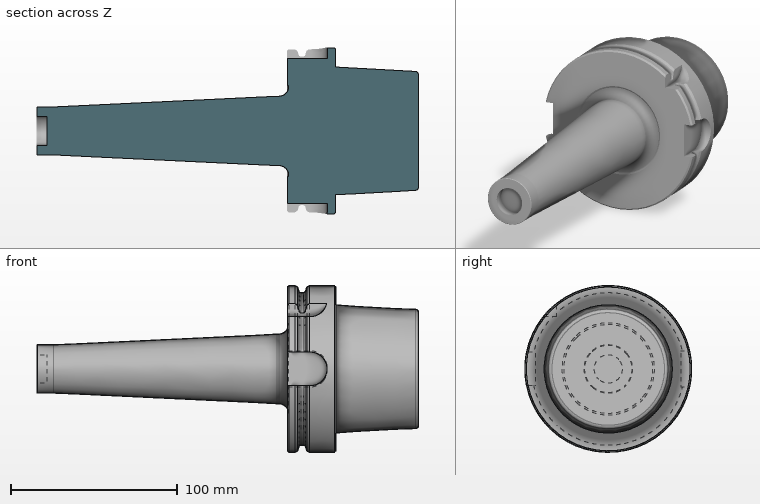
import cadquery as cq
import math

total_length = 229.0
tip_length = 10.0
cone_end = 144.0
neck_end = 145.2
flange_front = 150.2
flange_rear = 179.3

tip_radius = 29.0 / 2
neck_radius = 42.0 / 2
flange_radius = 100.0 / 2
rear_root_radius = 38.5
rear_end_radius = 35.7

tip_chamfer = 0.35
flange_chamfer = 1.0
rear_fillet = 2.0

neck_fillet = 5.7
recess_radius = 27.7

bore_radius = 17.0 / 2
bore_depth = 6.0

groove_center = 159.2
groove_mouth_width = 8.5
groove_mouth_depth = 1.0
groove_wall_width = 5.5
groove_floor_radius = 45.8
groove_floor_width = 1.4
groove_fillet = 1.4

slot_end = 174.0
slot_floor = 43.7
slot_corner_radius = 10.0
front_slot_width = 2 * slot_corner_radius
back_slot_width = 21.8

notch_wall = 31.1
notch_floor = 31.4
notch_radius = 10.0
notch_flat_end = 164.0


def turned_body():
    """Shank, flange and rear taper revolved about X."""
    fillet_middle = neck_fillet * math.sqrt(0.5)
    profile = (
        cq.Workplane("XY")
        .lineTo(0, tip_radius - tip_chamfer)
        .lineTo(tip_chamfer, tip_radius)
        .lineTo(tip_length, tip_radius)
        .lineTo(cone_end, neck_radius)
        .lineTo(neck_end, neck_radius)
        .threePointArc(
            (neck_end + fillet_middle, neck_radius + neck_fillet - fillet_middle),
            (neck_end + neck_fillet, neck_radius + neck_fillet),
        )
        .lineTo(flange_front, recess_radius)
        .lineTo(flange_front, flange_radius - flange_chamfer)
        .lineTo(flange_front + flange_chamfer, flange_radius)
        .lineTo(flange_rear - flange_chamfer, flange_radius)
        .lineTo(flange_rear, flange_radius - flange_chamfer)
        .lineTo(flange_rear, rear_root_radius)
        .lineTo(total_length, rear_end_radius)
        .lineTo(total_length, 0)
        .close()
    )
    body = profile.revolve(360, (0, 0, 0), (1, 0, 0))
    return body.faces(">X").edges().fillet(rear_fillet)


def bore():
    """Shallow blind bore in the tip face."""
    return cq.Workplane("YZ").circle(bore_radius).extrude(bore_depth)


def gripper_groove():
    """Ring groove with a chamfered mouth, tapered walls and a rounded bottom."""
    half_mouth = groove_mouth_width / 2
    half_wall = groove_wall_width / 2
    half_floor = groove_floor_width / 2
    half_fillet = half_floor + groove_fillet
    wall_top = flange_radius - groove_mouth_depth
    wall_bottom = groove_floor_radius + groove_fillet
    rounding = groove_fillet * math.sqrt(0.5)
    arc_offset = half_floor + rounding
    arc_radius = wall_bottom - rounding
    return (
        cq.Workplane("XY", origin=(groove_center, 0, 0))
        .moveTo(-half_mouth, flange_radius)
        .lineTo(-half_wall, wall_top)
        .lineTo(-half_fillet, wall_bottom)
        .threePointArc((-arc_offset, arc_radius), (-half_floor, groove_floor_radius))
        .lineTo(half_floor, groove_floor_radius)
        .threePointArc((arc_offset, arc_radius), (half_fillet, wall_bottom))
        .lineTo(half_wall, wall_top)
        .lineTo(half_mouth, flange_radius)
        .close()
        .revolve(360, (0, 0, 0), (1, 0, 0))
    )


def slot_block(start, end, width):
    """Block of slot depth between two X positions, standing on Y = 0."""
    depth = flange_radius - slot_floor
    block = cq.Workplane("XY").box(end - start, depth, width, centered=(False, False, True))
    return block.translate((start, 0, 0))


def drive_slot(side, width):
    """Slot with rounded inner corners; side is -1 for -Y and 1 for +Y."""
    depth = flange_radius - slot_floor
    corner_center = slot_end - slot_corner_radius
    corner_offset = width / 2 - slot_corner_radius
    slot = slot_block(flange_front, corner_center, width)
    for height in (-corner_offset, corner_offset):
        corner = cq.Workplane("XZ").center(corner_center, height).circle(slot_corner_radius).extrude(-depth)
        slot = slot.union(corner)
    if corner_offset > 0:
        slot = slot.union(slot_block(corner_center, slot_end, 2 * corner_offset))
    bottom = slot_floor if side > 0 else -flange_radius
    return slot.translate((0, bottom, 0))


def orientation_notch():
    """Corner cut whose floor curves upward at its inner end."""
    notch_end = notch_flat_end + notch_radius
    rounding = notch_radius * math.sqrt(0.5)
    arc_middle = (notch_flat_end + rounding, notch_floor + notch_radius - rounding)
    return (
        cq.Workplane("XZ", origin=(0, -notch_wall, 0))
        .moveTo(flange_front, notch_floor)
        .lineTo(notch_flat_end, notch_floor)
        .threePointArc(arc_middle, (notch_end, notch_floor + notch_radius))
        .lineTo(notch_end, flange_radius)
        .lineTo(flange_front, flange_radius)
        .close()
        .extrude(flange_radius)
    )


result = (
    turned_body()
    .cut(bore())
    .cut(gripper_groove())
    .cut(drive_slot(-1, front_slot_width))
    .cut(drive_slot(1, back_slot_width))
    .cut(orientation_notch())
)